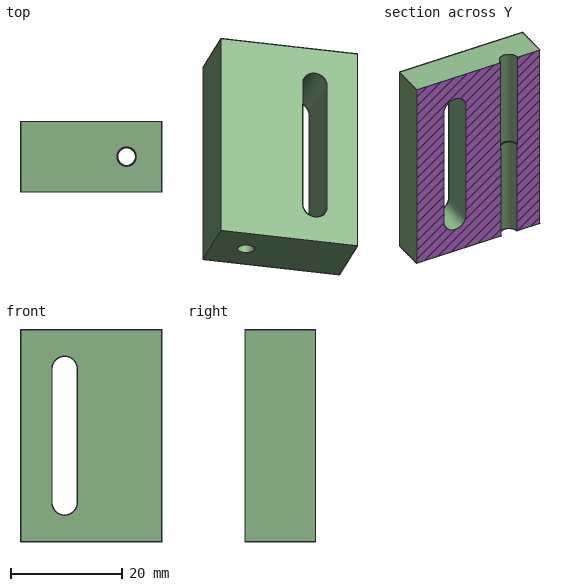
import cadquery as cq
import math

height = 38.1
width = height * 2 / 3
depth = height / 3

slot_from_left = 7.92
slot_width = 4.5
slot_length = 28.5

hole_from_left = width * 3 / 4
upper_bore_diameter = 3.45
lower_bore_diameter = 3.15
upper_bore_depth = height / 2
drill_point_angle = 118.0


def block():
    return cq.Workplane("XY").box(width, depth, height)


def slot_cutter():
    return (
        cq.Workplane("XZ")
        .center(slot_from_left - width / 2, 0)
        .slot2D(slot_length, slot_width, angle=90)
        .extrude(depth / 2, both=True)
    )


def hole_cutter():
    """Half profile of the hole revolved about its vertical axis."""
    upper_radius = upper_bore_diameter / 2
    lower_radius = lower_bore_diameter / 2
    top = height / 2
    cone_top = top - upper_bore_depth
    cone_height = (upper_radius - lower_radius) / math.tan(math.radians(drill_point_angle / 2))
    return (
        cq.Workplane("XZ", origin=(hole_from_left - width / 2, 0, 0))
        .moveTo(0, -height / 2)
        .lineTo(lower_radius, -height / 2)
        .lineTo(lower_radius, cone_top - cone_height)
        .lineTo(upper_radius, cone_top)
        .lineTo(upper_radius, top)
        .lineTo(0, top)
        .close()
        .revolve(360, (0, 0), (0, 1))
    )


result = block().cut(slot_cutter()).cut(hole_cutter())